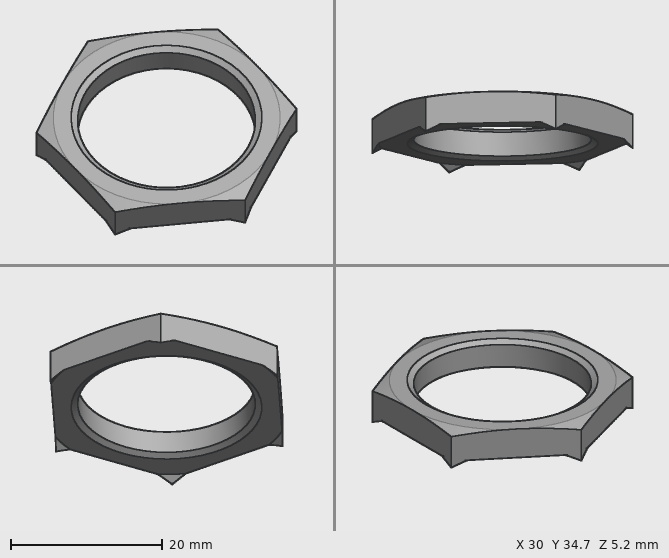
import cadquery as cq
import math

across_corners = 34.65
corner_radius = across_corners / 2
flat_radius = corner_radius * math.cos(math.radians(30))
height = 5.2

top_chamfer_angle = 15.0
top_chamfer_drop = (corner_radius - flat_radius) * math.tan(math.radians(top_chamfer_angle))

tooth_height = 0.97
recess_radius = corner_radius - tooth_height

bore_radius = 11.75
countersink_width = 0.85
countersink_depth = countersink_width * math.tan(math.radians(30))


def hexagon_blank():
    return (
        cq.Workplane("XY")
        .polygon(6, across_corners)
        .extrude(height)
        .rotate((0, 0, 0), (0, 0, 1), 30)
    )


def turned_envelope():
    """Solid of revolution that shapes the top chamfer, the teeth and the countersunk bore."""
    profile = [
        (bore_radius, tooth_height + countersink_depth),
        (bore_radius + countersink_width, tooth_height),
        (recess_radius, tooth_height),
        (corner_radius, 0),
        (corner_radius, height - top_chamfer_drop),
        (flat_radius, height),
        (bore_radius + countersink_width, height),
        (bore_radius, height - countersink_depth),
    ]
    return cq.Workplane("XZ").polyline(profile).close().revolve(360, (0, 0), (0, 1))


result = hexagon_blank().intersect(turned_envelope())